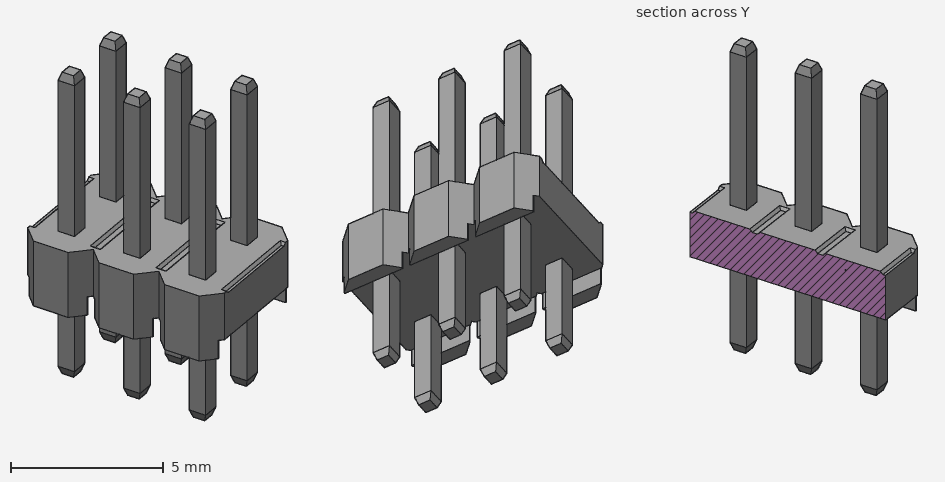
import cadquery as cq

PITCH = 2.54
COLUMNS = 3
ROWS = 2

BODY_LENGTH = COLUMNS * PITCH
BODY_WIDTH = ROWS * PITCH
BODY_HEIGHT = 2.5
CORNER_CHAMFER = 0.6

FOOT_HEIGHT = 0.7
FOOT_THICKNESS = 0.5
FOOT_GAP = 0.3

GROOVE_LENGTH = 3.6
GROOVE_WIDTH = 0.4
GROOVE_DEPTH = 0.1
GROOVE_BEVEL = 0.1

PIN_SIZE = 0.64
PIN_ABOVE_BODY = 6.1
PIN_BELOW_BODY = 3.0
TIP_SIZE = 0.44
TIP_LENGTH = 0.3

column_centers = [(i - (COLUMNS - 1) / 2) * PITCH for i in range(COLUMNS)]
row_centers = [(i - (ROWS - 1) / 2) * PITCH for i in range(ROWS)]
cell_boundaries = [(i - COLUMNS / 2) * PITCH for i in range(COLUMNS + 1)]


def make_frustum(bottom_size, top_size, height, center):
    """Loft between two centred rectangles; center is the middle of the bottom rectangle."""
    return (
        cq.Workplane("XY", origin=center)
        .rect(*bottom_size)
        .workplane(offset=height)
        .rect(*top_size)
        .loft(ruled=True)
    )


def make_cell(center_x):
    """One column's block with its four vertical edges chamfered."""
    return (
        cq.Workplane("XY", origin=(center_x, 0, 0))
        .rect(PITCH, BODY_WIDTH)
        .extrude(BODY_HEIGHT)
        .edges("|Z")
        .chamfer(CORNER_CHAMFER)
    )


def cut_underside(body):
    """Clear a channel along X and a gap at each cell boundary, leaving two feet per cell."""
    channel_width = BODY_WIDTH - 2 * FOOT_THICKNESS
    channel = cq.Workplane("XY").rect(BODY_LENGTH, channel_width).extrude(FOOT_HEIGHT)
    body = body.cut(channel)
    for x in cell_boundaries:
        gap = cq.Workplane("XY", origin=(x, 0, 0)).rect(FOOT_GAP, BODY_WIDTH).extrude(FOOT_HEIGHT)
        body = body.cut(gap)
    return body


def cut_grooves(body):
    """Cut a bevelled groove at each cell boundary; the end ones are half grooves."""
    mouth_size = (GROOVE_WIDTH, GROOVE_LENGTH)
    floor_size = (GROOVE_WIDTH - 2 * GROOVE_BEVEL, GROOVE_LENGTH - 2 * GROOVE_BEVEL)
    floor_z = BODY_HEIGHT - GROOVE_DEPTH
    for x in cell_boundaries:
        body = body.cut(make_frustum(floor_size, mouth_size, GROOVE_DEPTH, (x, 0, floor_z)))
    return body


def make_pin(x, y):
    """A square pin with a tapered tip at both ends."""
    shaft_bottom = TIP_LENGTH - PIN_BELOW_BODY
    shaft_top = BODY_HEIGHT + PIN_ABOVE_BODY - TIP_LENGTH
    shaft_section = (PIN_SIZE, PIN_SIZE)
    tip_section = (TIP_SIZE, TIP_SIZE)
    shaft = (
        cq.Workplane("XY", origin=(x, y, shaft_bottom))
        .rect(*shaft_section)
        .extrude(shaft_top - shaft_bottom)
    )
    lower_tip = make_frustum(tip_section, shaft_section, TIP_LENGTH, (x, y, -PIN_BELOW_BODY))
    upper_tip = make_frustum(shaft_section, tip_section, TIP_LENGTH, (x, y, shaft_top))
    return shaft.union(lower_tip).union(upper_tip)


body = make_cell(column_centers[0])
for x in column_centers[1:]:
    body = body.union(make_cell(x))
body = body.clean()

body = cut_underside(body)
body = cut_grooves(body)

result = body
for x in column_centers:
    for y in row_centers:
        result = result.union(make_pin(x, y))